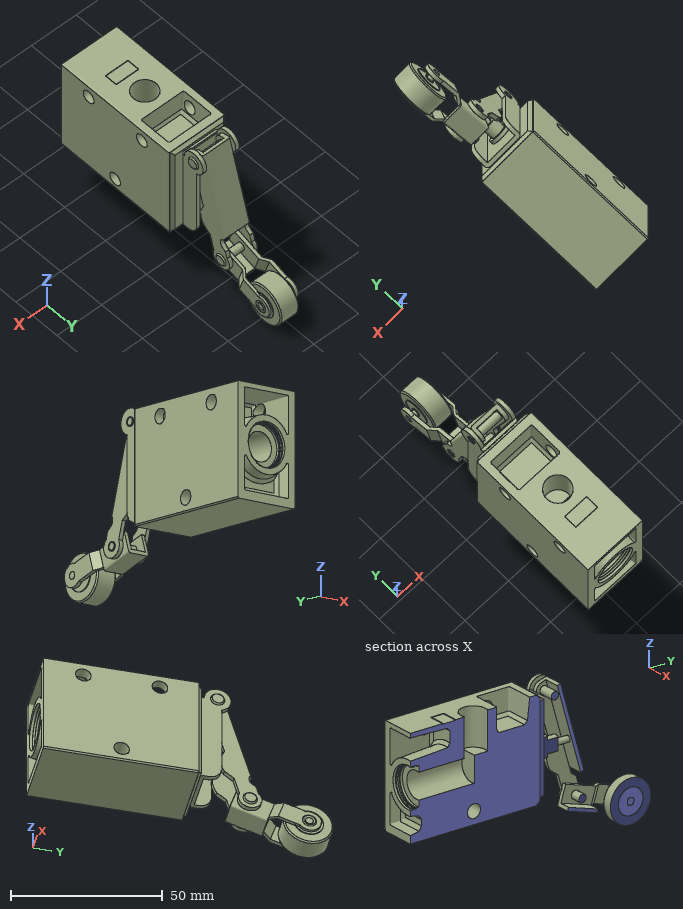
import cadquery as cq
import math


OVERALL_LENGTH = 100.0

HOUSING_WIDTH = 25.0
HOUSING_HEIGHT = 40.0
HOUSING_LENGTH = 52.8
BEVEL_DROP = 0.15
BEVEL_RUN = 0.7
BOTTOM_EDGE_CHAMFER = 0.5
END_BASE_WIDTH = 24.0
END_BASE_HEIGHT = 39.4
END_TIP_WIDTH = 21.6
END_TIP_HEIGHT = 37.0
END_BLOCK_LENGTH = 1.2

BORE_DIAMETER = 10.3
BORE_RADIUS = BORE_DIAMETER / 2
BORE_DEPTH = 26.5
COUNTERBORE_RADIUS = 7.5
COUNTERBORE_DEPTH = 3.6
SEAT_RING_RADIUS = 7.9
SEAT_MOUTH_DEPTH = 1.0
RING_GROOVE_START = 1.8
RING_GROOVE_WIDTH = 0.8

PORT_RADIUS = 5.0
PORT_Y = 27.3
LABEL_WIDTH = 10.0
LABEL_LENGTH = 5.2
LABEL_Y = 16.2
LABEL_DEPTH = 0.2

MOUNT_HOLE_RADIUS = 2.6
MOUNT_HOLE_Z = 15.0
MOUNT_HOLE_FIRST_Y = 13.5
MOUNT_HOLE_STEP = 13.0

POCKET_CORNER_RADII = [0.5, 0.3, 0.1]
UPPER_POCKET = [(0, 9.5, 4.9, 18.2), (15.5, 8.5, 4.9, 17.6), (16.4, 7.4, 4.9, 16.6)]
LOWER_POCKET = [(0, 9.5, -4.9, -16.8), (3.6, 8.5, -4.9, -16.2), (4.6, 7.1, -4.9, -14.5)]
TOP_POCKET = [(0, 9.5, 35.9, 49.5), (8.2, 8.5, 36.0, 48.6), (9.4, 7.4, 36.8, 47.4)]
TUBE_RADII = [10.1, 10.9, 12.3]

LEVER_ANGLE = 16.0
LEVER_LENGTH = 41.6
ARM_ANGLE = 17.4
ARM_LENGTH = 20.9
ROLLER_RADIUS = 8.5

lever_lean = math.radians(LEVER_ANGLE)
arm_droop = math.radians(ARM_ANGLE)
AXLE_Y = OVERALL_LENGTH - ROLLER_RADIUS
KNEE_Y = AXLE_Y - ARM_LENGTH * math.cos(arm_droop)
PIVOT_Y = KNEE_Y - LEVER_LENGTH * math.sin(lever_lean)
PIVOT_Z = 17.6
KNEE_Z = PIVOT_Z - LEVER_LENGTH * math.cos(lever_lean)
AXLE_Z = KNEE_Z - ARM_LENGTH * math.sin(arm_droop)

SHEET = 1.6
BRACKET_HALF_WIDTH = 8.1
BRACKET_BOTTOM_Z = -17.3
BRACKET_BEND_RADIUS = 1.4
EAR_RADIUS = 4.6
EAR_FRONT_Y = 61.5
EAR_CORNER_RADIUS = 4.4
BRACKET_Y = HOUSING_LENGTH + END_BLOCK_LENGTH

COLLAR_RADIUS = 4.1
COLLAR_LENGTH = 1.4
STEM_RADIUS = 2.9
STEM_END_Y = 61.4
NOSE_RADIUS = 1.2
NOSE_END_Y = 66.5

LEVER_WIDTH = 12.5
LEVER_HALF_WIDTH = LEVER_WIDTH / 2
LEVER_BACK = 3.4
LEVER_EYE_RADIUS = 3.1
LEVER_KNEE_RADIUS = 4.0
LEVER_BEND_RADIUS = 1.0
LEVER_WEB_END = 32.2

NOTCH_TOP = 2.5
NOTCH_FLOOR = (33.6, 1.9)
NOTCH_END = (35.2, 2.3)
NECK_START = 36.8
NECK_BACK = 3.5
CAM_START = 20.7
CAM_RISE = (23.4, -5.5)
CAM_CREST = (26.4, -6.0)
CAM_CORNER = (29.3, -5.6)
CAM_END = 32.6

ARM_LEFT_X = -4.1
ARM_RIGHT_X = 4.6
ARM_LEFT_SHEET = 1.5
ARM_RIGHT_SHEET = 1.2
ARM_JOG = 2.2
ARM_JOG_START = 8.0
ARM_JOG_END = 10.9
ARM_HEEL = -5.2
ARM_HALF_HEIGHT = 3.4
ARM_WEB_DROP = 4.7
ARM_WEB_SHEET = 1.5
ARM_BEND_RADIUS = 0.8
ARM_EYE_RADIUS = 4.1

ROLLER_LEFT_X = -2.6
ROLLER_RIGHT_X = 5.6
ROLLER_CHAMFER = 0.5
HUB_RADIUS = 5.0
HUB_PROUD = 0.3
HUB_NOSE_RADIUS = 1.7
HUB_NOSE_LENGTH = 0.2
PIN_RADIUS = 1.6
AXLE_RADIUS = 1.3
PIN_CHAMFER = 0.3
PIN_HEAD_BASE_RADIUS = 2.4
PIN_HEAD_TIP_RADIUS = 2.0
PIN_HEAD_LENGTH = 0.6
AXLE_HEAD_LENGTH = 0.3


def rod_x(radius, x_start, x_end, y, z):
    """Round rod along X."""
    rod = cq.Workplane("YZ", origin=(x_start, y, z)).circle(radius)
    return rod.extrude(x_end - x_start)


def rod_y(radius, y_start, y_end):
    """Round rod along Y, on the bore axis."""
    rod = cq.Workplane("XZ", origin=(0, y_start, 0)).circle(radius)
    return rod.extrude(y_start - y_end)


def box_between(x_range, y_range, z_range):
    """Axis-aligned box from its limits on each axis."""
    sizes = [high - low for low, high in (x_range, y_range, z_range)]
    corner = (x_range[0], y_range[0], z_range[0])
    return cq.Workplane("XY").box(*sizes, centered=False).translate(corner)


def pocket_void(plane, sections):
    """Tapered pocket through rounded rectangles at growing depth."""
    sketches = []
    for (depth, half_width, inner, outer), radius in zip(sections, POCKET_CORNER_RADII):
        outline = cq.Sketch().rect(2 * half_width, abs(outer - inner))
        outline = outline.vertices().fillet(radius)
        place = cq.Location(cq.Vector(0, (inner + outer) / 2, -depth))
        sketches.append(outline.moved(place))
    return plane.placeSketch(*sketches).loft(ruled=True)


def bore_tube(sections):
    """Flared wall left standing around the bore inside a port-face pocket."""
    depths = [section[0] for section in sections]
    outline = [(0, 0)] + list(zip(TUBE_RADII, depths)) + [(0, depths[-1])]
    return cq.Workplane("XY").polyline(outline).close().revolve(360, (0, 0, 0), (0, 1, 0))


def housing_block():
    """Block with shallow bevels, chamfered bottom edges and a tapered end."""
    half_width = HOUSING_WIDTH / 2
    top_z = HOUSING_HEIGHT / 2
    block = cq.Workplane("XY").box(HOUSING_WIDTH, HOUSING_LENGTH, HOUSING_HEIGHT)
    block = block.translate((0, HOUSING_LENGTH / 2, 0))
    block = block.edges("|Y and <Z").chamfer(BOTTOM_EDGE_CHAMFER)

    corner = [
        (HOUSING_LENGTH, top_z),
        (HOUSING_LENGTH - BEVEL_RUN, top_z),
        (HOUSING_LENGTH, top_z - BEVEL_DROP),
    ]
    block = block.cut(cq.Workplane("YZ").polyline(corner).close().extrude(half_width, both=True))

    for side in (-1, 1):
        side_x = side * half_width
        corner = [
            (side_x, top_z),
            (side_x - side * BEVEL_RUN, top_z),
            (side_x, top_z - BEVEL_DROP),
        ]
        block = block.cut(cq.Workplane("XZ").polyline(corner).close().extrude(-HOUSING_LENGTH))
        corner = [
            (side_x, HOUSING_LENGTH),
            (side_x, HOUSING_LENGTH - BEVEL_RUN),
            (side_x - side * BEVEL_DROP, HOUSING_LENGTH),
        ]
        block = block.cut(cq.Workplane("XY").polyline(corner).close().extrude(top_z, both=True))

    end = (
        cq.Workplane("XZ", origin=(0, HOUSING_LENGTH, 0))
        .rect(END_BASE_WIDTH, END_BASE_HEIGHT)
        .workplane(offset=-END_BLOCK_LENGTH)
        .rect(END_TIP_WIDTH, END_TIP_HEIGHT)
        .loft(ruled=True)
    )
    return block.union(end)


def make_housing():
    """Housing with its pockets, stepped bore, top port and cross holes."""
    body = housing_block()
    half_width = HOUSING_WIDTH / 2
    top_z = HOUSING_HEIGHT / 2

    for sections in (UPPER_POCKET, LOWER_POCKET):
        void = pocket_void(cq.Workplane("XZ"), sections)
        body = body.cut(void.cut(bore_tube(sections)))
    top_plane = cq.Workplane("XY", origin=(0, 0, top_z))
    body = body.cut(pocket_void(top_plane, TOP_POCKET))

    body = body.cut(rod_y(BORE_RADIUS, 0, BORE_DEPTH))
    body = body.cut(rod_y(COUNTERBORE_RADIUS, 0, COUNTERBORE_DEPTH))
    body = body.cut(rod_y(SEAT_RING_RADIUS, 0, SEAT_MOUTH_DEPTH))
    groove_end = RING_GROOVE_START + RING_GROOVE_WIDTH
    body = body.cut(rod_y(SEAT_RING_RADIUS, RING_GROOVE_START, groove_end))

    port = cq.Workplane("XY").center(0, PORT_Y).circle(PORT_RADIUS).extrude(top_z)
    floor = box_between((-half_width, half_width), (BORE_DEPTH, HOUSING_LENGTH), (0, BORE_RADIUS))
    body = body.cut(port.cut(floor))

    label = cq.Workplane("XY", origin=(0, LABEL_Y, top_z)).rect(LABEL_WIDTH, LABEL_LENGTH)
    body = body.cut(label.extrude(-LABEL_DEPTH))

    for index, level in enumerate((1, -1, 1)):
        y = MOUNT_HOLE_FIRST_Y + index * MOUNT_HOLE_STEP
        body = body.cut(rod_x(MOUNT_HOLE_RADIUS, -half_width, half_width, y, level * MOUNT_HOLE_Z))
    return body


def make_bracket():
    """U-shaped bracket: base on the housing end, two ears holding the pivot pin."""
    height = PIVOT_Z - BRACKET_BOTTOM_Z
    depth = EAR_FRONT_Y - BRACKET_Y
    body = cq.Workplane("XY").box(
        2 * BRACKET_HALF_WIDTH, depth, height, centered=(True, False, False)
    )
    body = body.translate((0, BRACKET_Y, BRACKET_BOTTOM_Z))
    body = body.edges(">Y and <Z").fillet(EAR_CORNER_RADIUS)
    body = body.edges("<Y and |Z").fillet(BRACKET_BEND_RADIUS)
    body = body.union(
        rod_x(EAR_RADIUS, -BRACKET_HALF_WIDTH, BRACKET_HALF_WIDTH, PIVOT_Y, PIVOT_Z)
    )
    inner_half = BRACKET_HALF_WIDTH - SHEET
    reach = OVERALL_LENGTH
    channel = cq.Workplane("XY").box(2 * inner_half, reach, reach, centered=(True, False, True))
    body = body.cut(channel.translate((0, BRACKET_Y + SHEET, 0)))
    return body.cut(rod_x(PIN_RADIUS, -BRACKET_HALF_WIDTH, BRACKET_HALF_WIDTH, PIVOT_Y, PIVOT_Z))


def make_plunger():
    """Collar on the bracket base, stem, and a nose reaching towards the lever."""
    base_y = BRACKET_Y + SHEET
    body = rod_y(COLLAR_RADIUS, base_y, base_y + COLLAR_LENGTH)
    body = body.union(rod_y(STEM_RADIUS, base_y, STEM_END_Y))
    return body.union(rod_y(NOSE_RADIUS, base_y, NOSE_END_Y))


def place_along(body, y, z, angle_from_y):
    """Move a part drawn flat (local Z is the pin direction) onto the line at an angle below +Y."""
    along = (0, math.cos(angle_from_y), -math.sin(angle_from_y))
    return body.val().moved(cq.Plane((0, y, z), along, (1, 0, 0)).location)


def make_lever():
    """Channel-shaped lever; local X runs from pivot to knee, local Y away from the housing."""
    eye = LEVER_EYE_RADIUS
    arc_offset = eye * math.sqrt(0.5)
    outline = (
        cq.Workplane("XY")
        .moveTo(0, -eye)
        .threePointArc((-arc_offset, -arc_offset), (-eye, 0))
        .lineTo(-eye, LEVER_BACK)
        .lineTo(LEVER_WEB_END, LEVER_BACK)
        .lineTo(LEVER_WEB_END, NOTCH_TOP)
        .threePointArc(NOTCH_FLOOR, NOTCH_END)
        .lineTo(NECK_START, NECK_BACK)
        .lineTo(LEVER_LENGTH, NECK_BACK)
        .lineTo(LEVER_LENGTH, -eye)
        .lineTo(CAM_END, -eye)
        .lineTo(*CAM_CORNER)
        .threePointArc(CAM_CREST, CAM_RISE)
        .lineTo(CAM_START, -eye)
        .close()
    )
    body = outline.extrude(LEVER_HALF_WIDTH, both=True)
    web_face = cq.selectors.NearestToPointSelector((LEVER_WEB_END / 2, LEVER_BACK, 0))
    body = body.faces(web_face).edges("|X").fillet(LEVER_BEND_RADIUS)
    knee = cq.Workplane("XY").center(LEVER_LENGTH, 0).circle(LEVER_KNEE_RADIUS)
    body = body.union(knee.extrude(LEVER_HALF_WIDTH, both=True))

    inner_half = LEVER_HALF_WIDTH - SHEET
    inside = (-inner_half, inner_half)
    reach = 2 * LEVER_LENGTH
    body = body.cut(box_between((-reach, reach), (-reach, LEVER_BACK - SHEET), inside))
    body = body.cut(box_between((LEVER_WEB_END, reach), (-reach, reach), inside))

    holes = cq.Workplane("XY").pushPoints([(0, 0), (LEVER_LENGTH, 0)]).circle(PIN_RADIUS)
    body = body.cut(holes.extrude(LEVER_HALF_WIDTH, both=True))
    return place_along(body, PIVOT_Y, PIVOT_Z, math.pi / 2 - lever_lean)


def arm_leg(outer_x, sheet):
    """Stepped strip of one leg beyond the channel; sheet points inwards from the outer face."""
    side = math.copysign(1, outer_x)
    inner_x = outer_x - side * sheet
    step = side * ARM_JOG
    plan = [
        (ARM_JOG_START, outer_x),
        (ARM_JOG_END, outer_x + step),
        (ARM_LENGTH + ARM_EYE_RADIUS, outer_x + step),
        (ARM_LENGTH + ARM_EYE_RADIUS, inner_x + step),
        (ARM_JOG_END, inner_x + step),
        (ARM_JOG_START, inner_x),
    ]
    return cq.Workplane("XZ").polyline(plan).close().extrude(ARM_EYE_RADIUS, both=True)


def make_arm():
    """Roller arm; local X runs from knee to axle, local Y upwards."""
    channel = box_between(
        (ARM_HEEL, ARM_JOG_START), (-ARM_WEB_DROP, ARM_HALF_HEIGHT), (ARM_LEFT_X, ARM_RIGHT_X)
    )
    channel = channel.edges("|X and <Y").fillet(ARM_BEND_RADIUS)
    inside = (ARM_LEFT_X + ARM_LEFT_SHEET, ARM_RIGHT_X - ARM_RIGHT_SHEET)
    web_top = ARM_WEB_SHEET - ARM_WEB_DROP
    body = channel.cut(box_between((ARM_HEEL, ARM_JOG_START), (web_top, ARM_HALF_HEIGHT), inside))

    bar = box_between(
        (ARM_JOG_START, ARM_LENGTH),
        (-ARM_HALF_HEIGHT, ARM_HALF_HEIGHT),
        (-HOUSING_WIDTH, HOUSING_WIDTH),
    )
    eye = cq.Workplane("XY").center(ARM_LENGTH, 0).circle(ARM_EYE_RADIUS)
    side_shape = bar.union(eye.extrude(HOUSING_WIDTH, both=True))
    for outer_x, sheet in ((ARM_LEFT_X, ARM_LEFT_SHEET), (ARM_RIGHT_X, ARM_RIGHT_SHEET)):
        body = body.union(arm_leg(outer_x, sheet).intersect(side_shape))

    for distance, radius in ((0, PIN_RADIUS), (ARM_LENGTH, AXLE_RADIUS)):
        hole = cq.Workplane("XY").center(distance, 0).circle(radius)
        body = body.cut(hole.extrude(HOUSING_WIDTH, both=True))

    seat = cq.Workplane("XY", origin=(ARM_LENGTH, 0, ROLLER_RIGHT_X)).circle(HUB_RADIUS)
    body = body.cut(seat.extrude(HUB_PROUD))
    return place_along(body, KNEE_Y, KNEE_Z, arm_droop)


def make_roller():
    """Chamfered tyre around the hub."""
    tyre = rod_x(ROLLER_RADIUS, ROLLER_LEFT_X, ROLLER_RIGHT_X, AXLE_Y, AXLE_Z)
    tyre = tyre.edges("%CIRCLE").chamfer(ROLLER_CHAMFER)
    return tyre.cut(rod_x(HUB_RADIUS, ROLLER_LEFT_X, ROLLER_RIGHT_X, AXLE_Y, AXLE_Z))


def make_hub():
    """Bearing core of the roller, with a small spacer nose on the open side."""
    left_x = ROLLER_LEFT_X - HUB_PROUD
    right_x = ROLLER_RIGHT_X + HUB_PROUD
    core = rod_x(HUB_RADIUS, left_x, right_x, AXLE_Y, AXLE_Z)
    core = core.union(rod_x(HUB_NOSE_RADIUS, left_x - HUB_NOSE_LENGTH, left_x, AXLE_Y, AXLE_Z))
    return core.cut(rod_x(AXLE_RADIUS, left_x - HUB_NOSE_LENGTH, right_x, AXLE_Y, AXLE_Z))


def add_head(shank, right_x, head_length, y, z):
    """Add a tapered rivet head to the right end of a shank."""
    head = cq.Solid.makeCone(
        PIN_HEAD_BASE_RADIUS,
        PIN_HEAD_TIP_RADIUS,
        head_length,
        pnt=cq.Vector(right_x, y, z),
        dir=cq.Vector(1, 0, 0),
    )
    return shank.union(cq.Workplane(head))


def make_joint_pin(half_length, y, z):
    """Pivot or knee pin, chamfered at its left end."""
    shank = rod_x(PIN_RADIUS, -half_length, half_length, y, z)
    shank = shank.faces("<X").chamfer(PIN_CHAMFER)
    return add_head(shank, half_length, PIN_HEAD_LENGTH, y, z)


def make_axle():
    """Roller axle, flush with the left leg of the arm."""
    right_x = ARM_RIGHT_X + ARM_JOG
    shank = rod_x(AXLE_RADIUS, ARM_LEFT_X - ARM_JOG, right_x, AXLE_Y, AXLE_Z)
    return add_head(shank, right_x, AXLE_HEAD_LENGTH, AXLE_Y, AXLE_Z)


housing = make_housing()
bracket = make_bracket()
plunger = make_plunger()
lever = make_lever()
arm = make_arm()
roller = make_roller()
hub = make_hub()
joint_pins = [
    make_joint_pin(half_length, y, z).val()
    for half_length, y, z in (
        (BRACKET_HALF_WIDTH, PIVOT_Y, PIVOT_Z),
        (LEVER_HALF_WIDTH, KNEE_Y, KNEE_Z),
    )
]
axle = make_axle()

result = cq.Compound.makeCompound(
    [
        housing.val(),
        bracket.val(),
        plunger.val(),
        lever,
        arm,
        roller.val(),
        hub.val(),
        *joint_pins,
        axle.val(),
    ]
)